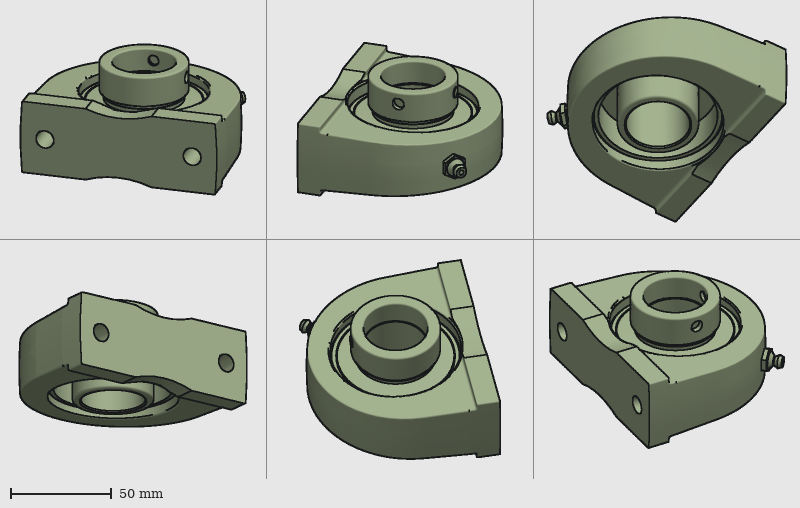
import cadquery as cq
import math


base_width = 101.9
base_height = 38.0
overall_depth = 87.0
overall_height = 49.1
axis_height = 42.9
rim_radius = 50.1
draft_angle = 2.1
wall_bulge_radius = 224.2
step_y = -31.2
step_foot_z = 15.8
step_foot_fillet = 1.2
step_edge_fillet = 0.4
rim_fillet = 0.8
waist_half_width = 17.1
waist_depth = 3.1
mounting_hole_diameter = 9.2
mounting_hole_spacing = 76.4
mounting_hole_depth = 20.4
drill_point_angle = 118.0

outer_ring_diameter = 65.0
seat_mouth_fillet = 0.9
outer_ring_bore = 59.1
outer_ring_half_width = 9.5
outer_ring_chamfer = 0.76
shaft_diameter = 31.8
inner_ring_diameter = 40.4
inner_ring_bottom_z = -15.8
inner_ring_shoulder_z = 12.5
inner_ring_top_z = 18.0
inner_ring_nose_diameter = 37.6
inner_ring_end_fillet = 1.3
inner_ring_bore_chamfer = 0.7
seal_rim_diameter = 58.1
seal_plate_diameter = 55.8
seal_edge_z = 9.2
seal_rim_z = 9.5
seal_plate_z = 9.7
seal_inner_z = 10.1
seal_bottom_z = 8.2

collar_diameter = 44.5
collar_bottom_z = 14.3
collar_edge_fillet = 1.0
collar_bore_fillet = 0.9
collar_hub_diameter = 41.4
screw_z = 23.9
screw_diameter = 5.4
screw_inner_end = 17.7
screw_outer_end = 22.6
drift_hole_diameter = 6.0
drift_hole_depth = 3.1

nipple_angle = 45.0
nipple_stem_diameter = 6.0
nipple_stem_start = 39.7
hex_width = 11.0
hex_start = 46.0
hex_end = 48.4
nipple_cone_start = 48.9
nipple_cone_diameter = 9.6
nipple_cone_end = 50.6
nipple_cone_tip_diameter = 5.4
nipple_neck_start = 51.0
nipple_neck_end = 51.6
nipple_neck_diameter = 4.9
nipple_head_place = 53.5
nipple_head_diameter = 6.9
nipple_end = 55.4
nipple_end_diameter = 5.4
nipple_ball_diameter = 2.5
nipple_ball_height = 0.5

mounting_y = -axis_height
half_height = base_height / 2
collar_top_z = overall_height - half_height
rim_top_y = overall_depth - axis_height
rim_center_y = rim_top_y - rim_radius
draft_slope = math.tan(math.radians(draft_angle))
wall_bulge = wall_bulge_radius - math.sqrt(wall_bulge_radius**2 - half_height**2)


def barrel_section(inner_x, outer_x):
    """XZ section of full height, flat at inner_x and bulging out to outer_x."""
    corner_x = outer_x - wall_bulge
    return (
        cq.Workplane("XZ")
        .moveTo(inner_x, -half_height)
        .lineTo(corner_x, -half_height)
        .threePointArc((outer_x, 0), (corner_x, half_height))
        .lineTo(inner_x, half_height)
        .close()
    )


def cylinder(diameter, bottom_z, top_z):
    return cq.Workplane("XY").workplane(offset=bottom_z).circle(diameter / 2).extrude(top_z - bottom_z)


def make_plan_body():
    """Full-height body: round rim with two flanks that spread towards the mounting face."""
    rim = barrel_section(0, rim_radius).revolve(360, (0, 0, 0), (0, 1, 0))
    overlap = 5.1
    flank = barrel_section(-overlap, rim_radius).extrude(axis_height)
    flank = flank.rotate((0, 0, 0), (0, 0, 1), draft_angle)
    body = rim.union(flank).union(flank.mirror("YZ")).translate((0, rim_center_y, 0))

    half_limit = barrel_section(0, base_width / 2).extrude(overall_depth).translate((0, rim_top_y, 0))
    return body.intersect(half_limit.union(half_limit.mirror("YZ")))


def make_side_profile():
    """Stepped and tapering side profile, extruded across the width."""
    rim_z = step_foot_z - draft_slope * (rim_top_y - step_y)
    upper = [(mounting_y, half_height), (step_y, half_height), (step_y, step_foot_z), (rim_top_y, rim_z)]
    lower = [(y, -z) for y, z in reversed(upper)]
    profile = cq.Workplane("YZ").polyline(upper + lower).close().extrude(base_width / 2, both=True)

    def step_edges(z):
        margin = 0.1
        return cq.selectors.BoxSelector(
            (-base_width, step_y - margin, z - margin), (base_width, step_y + margin, z + margin)
        )

    for side in (1, -1):
        profile = profile.edges(step_edges(side * step_foot_z)).fillet(step_foot_fillet)
        profile = profile.edges(step_edges(side * half_height)).fillet(step_edge_fillet)
    return profile


def is_rim_edge(edge):
    """True for the edges between the outer walls and the upper or lower faces."""
    start = edge.startPoint()
    end = edge.endPoint()
    along_y = abs(start.y - end.y) > 0.01
    upright = start.z * end.z < 0
    return along_y and not upright


def make_seat_mouth_cutter():
    """Rounded mouth of the bearing seat, square to the sloping upper face and open upwards."""
    seat_radius = outer_ring_diameter / 2
    face_z = step_foot_z + draft_slope * step_y
    mouth_radius = seat_radius + seat_mouth_fillet
    arc_inset = seat_mouth_fillet * math.sqrt(0.5)
    cutter = (
        cq.Workplane("XZ")
        .moveTo(0, -seat_mouth_fillet)
        .lineTo(seat_radius, -seat_mouth_fillet)
        .threePointArc((mouth_radius - arc_inset, arc_inset - seat_mouth_fillet), (mouth_radius, 0))
        .lineTo(mouth_radius, half_height)
        .lineTo(0, half_height)
        .close()
        .revolve(360, (0, 0, 0), (0, 1, 0))
    )
    return cutter.rotate((0, 0, 0), (1, 0, 0), -draft_angle).translate((0, 0, face_z))


def make_waist_cutter():
    """Round trough that narrows the upper side of the foot, from front to back."""
    radius = (waist_half_width**2 + waist_depth**2) / (2 * waist_depth)
    center_z = half_height - waist_depth + radius
    return cq.Workplane("XZ").center(0, center_z).circle(radius).extrude(axis_height)


def make_mounting_hole(x):
    """Blind drilled hole from the mounting face."""
    radius = mounting_hole_diameter / 2
    tip_length = radius / math.tan(math.radians(drill_point_angle / 2))
    outline = [(0, 0), (radius, 0), (radius, mounting_hole_depth), (0, mounting_hole_depth + tip_length)]
    hole = cq.Workplane("XY").polyline(outline).close().revolve(360, (0, 0, 0), (0, 1, 0))
    return hole.translate((x, mounting_y, 0))


def make_housing():
    housing = make_plan_body().intersect(make_side_profile())
    rim_edges = [edge for edge in housing.edges().vals() if is_rim_edge(edge)]
    housing = housing.newObject(rim_edges).fillet(rim_fillet)

    waist = make_waist_cutter()
    seat_mouth_cutter = make_seat_mouth_cutter()
    housing = housing.cut(cylinder(outer_ring_diameter, -half_height, half_height))
    for cutter in (waist, seat_mouth_cutter):
        housing = housing.cut(cutter).cut(cutter.mirror("XY"))

    for side in (1, -1):
        housing = housing.cut(make_mounting_hole(side * mounting_hole_spacing / 2))
    return housing.cut(make_nipple_stem())


def make_outer_ring():
    bore = cylinder(outer_ring_bore, -outer_ring_half_width, outer_ring_half_width)
    ring = cylinder(outer_ring_diameter, -outer_ring_half_width, outer_ring_half_width)
    ring = ring.faces("<Z or >Z").edges().chamfer(outer_ring_chamfer)
    return ring.cut(bore)


def make_inner_ring():
    """Ring with a narrower nose that reaches into the locking collar."""
    ring = cylinder(inner_ring_diameter, inner_ring_bottom_z, inner_ring_shoulder_z)
    ring = ring.faces("<Z").edges().fillet(inner_ring_end_fillet)
    ring = ring.union(cylinder(inner_ring_nose_diameter, inner_ring_shoulder_z, inner_ring_top_z))
    ring = ring.cut(cylinder(shaft_diameter, inner_ring_bottom_z, inner_ring_top_z))
    bore_edges = cq.selectors.RadiusNthSelector(0)
    return ring.faces("<Z or >Z").edges(bore_edges).chamfer(inner_ring_bore_chamfer)


def make_seal():
    """Seal that fills the outer ring's bore, with a raised rim and a slightly conical plate."""
    inner_radius = inner_ring_diameter / 2
    outer_radius = outer_ring_bore / 2
    outline = [
        (inner_radius, seal_bottom_z),
        (outer_radius, seal_bottom_z),
        (outer_radius, seal_edge_z),
        (seal_rim_diameter / 2, seal_rim_z),
        (seal_plate_diameter / 2, seal_plate_z),
        (inner_radius, seal_inner_z),
    ]
    return cq.Workplane("XZ").polyline(outline).close().revolve(360, (0, 0, 0), (0, 1, 0))


def cross_cylinder(diameter, start, end):
    """Cylinder along +Y at the height of the set screw, between two distances from the bearing axis."""
    return cq.Workplane("XZ", origin=(0, start, screw_z)).circle(diameter / 2).extrude(start - end)


def make_set_screw():
    return cross_cylinder(screw_diameter, screw_inner_end, screw_outer_end)


def make_collar():
    """Locking collar with a recess for the inner ring's nose and a blind drift hole on +X."""
    collar = cylinder(collar_diameter, collar_bottom_z, collar_top_z)
    collar = collar.faces("<Z or >Z").edges().fillet(collar_edge_fillet)
    collar = collar.union(cylinder(collar_hub_diameter, inner_ring_shoulder_z, collar_bottom_z))
    collar = collar.cut(cylinder(shaft_diameter, inner_ring_shoulder_z, collar_top_z))
    bore_edge = cq.selectors.RadiusNthSelector(0)
    collar = collar.faces(">Z").edges(bore_edge).fillet(collar_bore_fillet)
    collar = collar.cut(cylinder(inner_ring_nose_diameter, inner_ring_shoulder_z, inner_ring_top_z))

    collar_radius = collar_diameter / 2
    collar = collar.cut(cross_cylinder(screw_diameter, 0, collar_diameter))
    drift_hole = cross_cylinder(drift_hole_diameter, collar_radius - drift_hole_depth, collar_diameter)
    return collar.cut(drift_hole.rotate((0, 0, 0), (0, 0, 1), -90))


def nipple_outline_solid(outline):
    """Turn an outline of (radius, distance) points about the nipple's axis."""
    return cq.Workplane("XY").polyline(outline).close().revolve(360, (0, 0, 0), (0, 1, 0))


def place_nipple(shape):
    return shape.rotate((0, 0, 0), (0, 0, 1), -nipple_angle)


def make_nipple_stem():
    radius = nipple_stem_diameter / 2
    stem = nipple_outline_solid(
        [(0, nipple_stem_start), (radius, nipple_stem_start), (radius, hex_start), (0, hex_start)]
    )
    return place_nipple(stem)


def make_grease_nipple():
    hex_head = (
        cq.Workplane("XZ", origin=(0, hex_start, 0))
        .polygon(6, hex_width, circumscribed=True)
        .extrude(hex_start - hex_end)
    )
    turned_end = nipple_outline_solid(
        [
            (0, hex_end),
            (nipple_cone_diameter / 2, hex_end),
            (nipple_cone_diameter / 2, nipple_cone_start),
            (nipple_cone_tip_diameter / 2, nipple_cone_end),
            (nipple_neck_diameter / 2, nipple_neck_start),
            (nipple_neck_diameter / 2, nipple_neck_end),
            (nipple_head_diameter / 2, nipple_head_place),
            (nipple_end_diameter / 2, nipple_end),
            (0, nipple_end),
        ]
    )
    ball_edge_radius = nipple_ball_diameter / 2
    ball_radius = (ball_edge_radius**2 + nipple_ball_height**2) / (2 * nipple_ball_height)
    ball_center = nipple_end + nipple_ball_height - ball_radius
    cap = cq.Workplane("XY").sphere(ball_radius).translate((0, ball_center, 0))
    outer_side = cq.Workplane("XZ", origin=(0, nipple_end, 0)).circle(ball_radius).extrude(-ball_radius)
    cap = cap.intersect(outer_side)
    return make_nipple_stem().union(place_nipple(hex_head.union(turned_end).union(cap)))


housing = make_housing()
outer_ring = make_outer_ring()
inner_ring = make_inner_ring()
seal = make_seal()
collar = make_collar()
set_screw = make_set_screw()
grease_nipple = make_grease_nipple()

bodies = [housing, outer_ring, inner_ring, seal, collar, set_screw, grease_nipple]
result = cq.Compound.makeCompound([body.solids().val() for body in bodies])